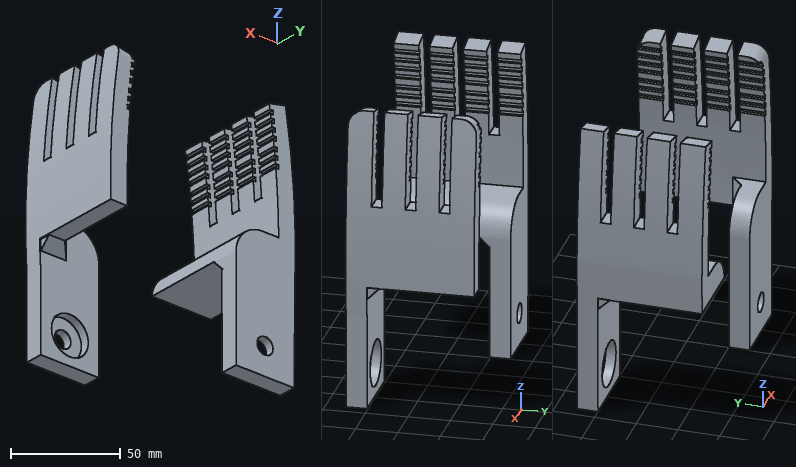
import cadquery as cq
import math

height = 145.0
span = 111.5
half_span = span / 2
left_width = 60.0
right_width = 60.6

leg_inner_x = 20.0
leg_width = 35.0
leg_outer_x = leg_inner_x + leg_width
leg_thickness = 10.0
shelf_top_z = 75.0
shelf_bottom_z = 60.0
shoulder_radius = 16.0
gusset = 6.0

arm_thickness = 10.2
outer_radius = 459.6
arc_center_z = 71.3
inner_tip_z = 142.8
left_arc_foot_z = 78.6
right_arc_foot_z = 45.0
tip_corner_radius = 7.5

inner_radius = outer_radius - arm_thickness
arc_center_x = half_span - outer_radius

slot_width = 5.0
first_slot_y = 12.0
slot_pitch = 16.0
slot_count = 3
slot_bottom_z = 99.9

groove_height = 2.0
groove_depth = 1.7
groove_pitch = 4.4
lower_groove_z = 111.6
lower_groove_count = 3
upper_groove_z = 125.7
upper_groove_count = 4

hole_x = leg_inner_x + leg_width / 2
hole_z = 16.0
hole_diameter = 9.4
counterbore_diameter = 22.0
counterbore_depth = 5.0


def arc_x(radius, z):
    """X of a circle about the arm's centre of curvature at height z."""
    return arc_center_x + math.sqrt(radius**2 - (z - arc_center_z) ** 2)


def arc_point(radius, z):
    return (arc_x(radius, z), z)


def slab(outline, y_start, y_end):
    """Extrude a closed XZ outline from y_start to y_end."""
    return outline.extrude(y_start - y_end).translate((0, y_start, 0))


def box(x_range, y_range, z_range):
    lengths = [end - start for start, end in (x_range, y_range, z_range)]
    corner = (x_range[0], y_range[0], z_range[0])
    return cq.Workplane("XY").box(*lengths, centered=False).translate(corner)


def jaw_outline(arc_foot_z):
    """Side outline of leg, shelf and arm."""
    arc_mid_z = (arc_foot_z + height) / 2
    inner_mid_z = (shelf_top_z + inner_tip_z) / 2
    shoulder_offset = shoulder_radius * (1 - math.sqrt(0.5))
    return (
        cq.Workplane("XZ")
        .moveTo(leg_inner_x, 0)
        .lineTo(leg_outer_x, 0)
        .lineTo(*arc_point(outer_radius, arc_foot_z))
        .threePointArc(arc_point(outer_radius, arc_mid_z), arc_point(outer_radius, height))
        .lineTo(*arc_point(inner_radius, inner_tip_z))
        .threePointArc(arc_point(inner_radius, inner_mid_z), arc_point(inner_radius, shelf_top_z))
        .lineTo(leg_inner_x + shoulder_radius, shelf_top_z)
        .threePointArc(
            (leg_inner_x + shoulder_offset, shelf_top_z - shoulder_offset),
            (leg_inner_x, shelf_top_z - shoulder_radius),
        )
        .close()
    )


def arm_outline():
    """Side outline of the right arm alone, down to the shelf's underside."""
    outer_mid_z = (shelf_bottom_z + height) / 2
    inner_mid_z = (shelf_bottom_z + inner_tip_z) / 2
    return (
        cq.Workplane("XZ")
        .moveTo(*arc_point(outer_radius, shelf_bottom_z))
        .threePointArc(arc_point(outer_radius, outer_mid_z), arc_point(outer_radius, height))
        .lineTo(*arc_point(inner_radius, inner_tip_z))
        .threePointArc(arc_point(inner_radius, inner_mid_z), arc_point(inner_radius, shelf_bottom_z))
        .close()
    )


def sloped_brace(wall_y, direction):
    """45 degree wedge along X in the corner of the leg's inner face and the shelf's underside."""
    free_y = wall_y + direction * gusset
    return (
        cq.Workplane("YZ")
        .moveTo(wall_y, shelf_bottom_z - gusset)
        .lineTo(free_y, shelf_bottom_z)
        .lineTo(free_y, shelf_top_z)
        .lineTo(wall_y, shelf_top_z)
        .close()
        .extrude(leg_outer_x)
    )


def cut_finger_slots(jaw):
    for i in range(slot_count):
        start = first_slot_y + i * slot_pitch
        jaw = jaw.cut(box((0, half_span), (start, start + slot_width), (slot_bottom_z, height)))
    return jaw


def cut_grip_grooves(jaw):
    lower_row = [lower_groove_z + i * groove_pitch for i in range(lower_groove_count)]
    upper_row = [upper_groove_z + i * groove_pitch for i in range(upper_groove_count)]
    for z in lower_row + upper_row:
        floor_x = arc_x(inner_radius, z) + groove_depth
        z_range = (z - groove_height / 2, z + groove_height / 2)
        jaw = jaw.cut(box((0, floor_x), (0, right_width), z_range))
    return jaw


def leg_bore(diameter, y_start, y_end):
    circle = cq.Workplane("XZ").center(hole_x, hole_z).circle(diameter / 2)
    return slab(circle, y_start, y_end)


def make_left_jaw():
    """Jaw with its leg on the +Y side and a shelf across its full width."""
    wall_y = left_width - leg_thickness
    jaw = slab(jaw_outline(left_arc_foot_z), 0, left_width)
    below_shelf = box((0, half_span), (0, wall_y), (0, shelf_bottom_z))
    jaw = jaw.cut(below_shelf.cut(sloped_brace(wall_y, -1)))
    jaw = cut_grip_grooves(cut_finger_slots(jaw))
    jaw = jaw.cut(leg_bore(hole_diameter, wall_y, left_width))
    jaw = jaw.cut(leg_bore(counterbore_diameter, wall_y, wall_y + counterbore_depth))
    return jaw.mirror("YZ")


def corner_brace():
    """Brace in the right jaw's leg corner, sloping 45 degrees below and beside the arm."""
    free_y = leg_thickness + gusset
    arm_x = arc_x(inner_radius, shelf_top_z)
    beside_arm = (
        cq.Workplane("XY")
        .moveTo(arm_x - gusset, leg_thickness)
        .lineTo(arm_x, free_y)
        .lineTo(half_span, free_y)
        .lineTo(half_span, leg_thickness)
        .close()
        .extrude(shelf_top_z)
    )
    brace = slab(jaw_outline(right_arc_foot_z), leg_thickness, free_y)
    return brace.intersect(beside_arm).intersect(sloped_brace(leg_thickness, 1))


def make_right_jaw():
    """Jaw with its leg on the -Y side and an arm with rounded tip corners."""
    arm = slab(arm_outline(), 0, right_width)
    tip_direction = cq.Vector(
        arc_x(outer_radius, height) - arc_x(inner_radius, inner_tip_z), 0, height - inner_tip_z
    )
    tip_edges = arm.edges(cq.selectors.ParallelDirSelector(tip_direction))
    arm = tip_edges.fillet(tip_corner_radius)

    leg = slab(jaw_outline(right_arc_foot_z), 0, leg_thickness)
    leg = leg.cut(box((0, half_span), (0, leg_thickness), (shelf_top_z, height)))
    jaw = arm.union(leg).union(corner_brace())
    jaw = cut_grip_grooves(cut_finger_slots(jaw))
    jaw = jaw.cut(leg_bore(hole_diameter, 0, leg_thickness))
    return jaw.cut(leg_bore(counterbore_diameter, leg_thickness - counterbore_depth, leg_thickness))


left_jaw = make_left_jaw()
right_jaw = make_right_jaw()

result = cq.Compound.makeCompound([left_jaw.val(), right_jaw.val()])